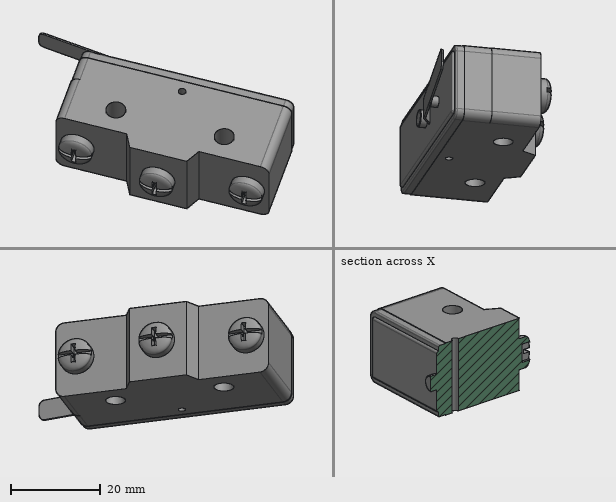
import cadquery as cq
import math


overall_length = 61.9

body_length = 49.9
base_height = 11.4
width = 18.0
corner_radius = 2.05
base_left_overhang = 0.1
body_top = 17.7
cap_top = 19.75
cap_step = 0.1
cap_edge_radius = 0.4

plate_inset = 1.3
plate_top = 20.3
plate_edge_radius = 0.545

nose_height = 3.4
nose_root_length = 16.95
nose_tip_length = 13.4

mount_hole_diameter = 4.45
mount_hole_spacing = 25.45
mount_hole_y = 5.65
pivot_hole_diameter = 1.7
pivot_hole_y = 14.9

screw_spacing = 20.0
screw_diameter = 7.8
screw_rim_height = 1.85
screw_dome_height = 1.5
slot_width = 1.0
slot_depth = 1.7
cross_slot_length = 4.4
cross_slot_depth = 2.5

plunger_x = -10.65
plunger_diameter = 2.55
plunger_top = 22.15
button_diameter = 3.95
button_top = 22.05
pin_chamfer = 0.2

lever_width = 4.8
lever_thickness = 0.45
lever_tip_radius = 1.4
lever_arm_slope = 7.0
lever_elbow = (-6.1, 22.15)
lever_foot = (-2.8, 20.0)

body_end = body_length / 2


def rounded_block(left, right, bottom, top, inset=0):
    """Housing layer along Y with rounded corners, its outline drawn in by inset on all sides."""
    length = right - left - 2 * inset
    outline_center = ((left + right) / 2, bottom, 0)
    outline = cq.Workplane("XZ", origin=outline_center).rect(length, width - 2 * inset)
    return outline.extrude(bottom - top).edges("|Y").fillet(corner_radius - inset)


def pin(x, diameter, bottom, top):
    """Round pin along +Y with a chamfered top edge."""
    body = cq.Workplane("XZ", origin=(x, bottom, 0)).circle(diameter / 2).extrude(bottom - top)
    return body.faces(">Y").chamfer(pin_chamfer)


def through_hole(x, y, diameter):
    """Cutter along Z through the full width of the housing."""
    return cq.Workplane("XY").center(x, y).circle(diameter / 2).extrude(width, both=True)


def housing():
    """Base, body, cap and raised plate stacked along +Y."""
    base = rounded_block(-body_end - base_left_overhang, body_end, 0, base_height)
    body = rounded_block(-body_end, body_end, base_height, body_top)
    cap = rounded_block(-body_end, body_end, body_top, cap_top, cap_step)
    cap = cap.faces(">Y").edges().fillet(cap_edge_radius)
    plate = rounded_block(-body_end, body_end, cap_top, plate_top, cap_step + plate_inset)
    plate = plate.faces(">Y").edges().fillet(plate_edge_radius)
    return base.union(body).union(cap).union(plate)


def nose():
    """Trapezoid under the base that carries the middle screw."""
    root = nose_root_length / 2
    tip = nose_tip_length / 2
    outline = [(-root, 0), (-tip, -nose_height), (tip, -nose_height), (root, 0)]
    return cq.Workplane("XY").polyline(outline).close().extrude(width / 2, both=True)


def screw_head(x, seat_y):
    """Elliptic domed head pointing to -Y, with a full slot along X and a short cross slot along Z."""
    radius = screw_diameter / 2
    screw_height = screw_rim_height + screw_dome_height
    profile = (
        cq.Workplane("XY")
        .lineTo(radius, 0)
        .lineTo(radius, -screw_rim_height)
        .ellipseArc(radius, screw_dome_height, 270, 360, sense=-1)
        .close()
    )
    head = profile.revolve(360, (0, 0, 0), (0, 1, 0))
    tip = cq.Workplane("XZ", origin=(0, -screw_height, 0))
    full_slot = tip.rect(screw_diameter, slot_width).extrude(-slot_depth)
    cross_slot = tip.rect(slot_width, cross_slot_length).extrude(-cross_slot_depth)
    return head.cut(full_slot).cut(cross_slot).translate((x, seat_y, 0))


def lever():
    """Bent strip: a long sloping arm with a rounded tip and a foot sunk into the plate."""
    slope = math.radians(lever_arm_slope)
    tip_lean = lever_thickness / 2 * math.sin(slope)
    tip_x = body_end - overall_length + tip_lean
    tip_y = lever_elbow[1] + (lever_elbow[0] - tip_x) * math.tan(slope)
    tip_plane = cq.Plane(
        origin=(tip_x, tip_y, 0),
        xDir=(math.sin(slope), math.cos(slope), 0),
        normal=(math.cos(slope), -math.sin(slope), 0),
    )
    bend_line = cq.Workplane("XY").polyline([(tip_x, tip_y), lever_elbow, lever_foot])
    section = cq.Workplane(tip_plane).rect(lever_thickness, lever_width)
    strip = section.sweep(bend_line, transition="right")
    return strip.faces("<X").edges("not |Z").fillet(lever_tip_radius)


def assembled_switch():
    """All parts joined, with the holes cut through the housing."""
    switch = housing().union(nose())
    for side in (-1, 1):
        switch = switch.cut(through_hole(side * mount_hole_spacing / 2, mount_hole_y, mount_hole_diameter))
        switch = switch.union(screw_head(side * screw_spacing, 0))
    switch = switch.cut(through_hole(0, pivot_hole_y, pivot_hole_diameter))
    switch = switch.union(screw_head(0, -nose_height))
    switch = switch.union(pin(plunger_x, plunger_diameter, body_top, plunger_top))
    switch = switch.union(pin(0, button_diameter, body_top, button_top))
    return switch.union(lever())


result = assembled_switch()